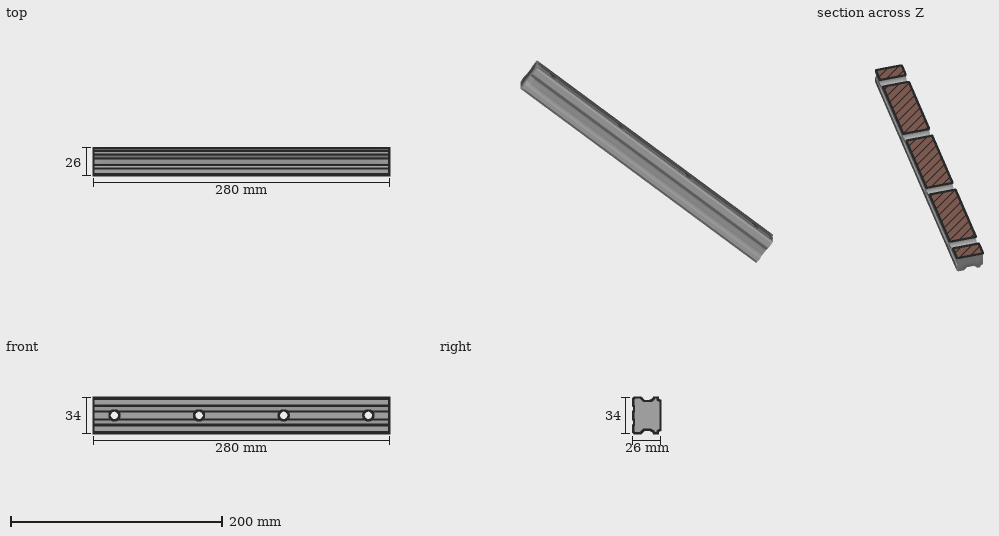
import cadquery as cq
import math

length = 280.0
depth = 26.0
height = 34.0
half_height = height / 2

front_chamfer = 1.5
groove_depth = 0.8
groove_inner = 3.78
groove_outer = 9.5
groove_slope = 0.8

channel_floor = 13.7
flank_start = 7.0
flank_end = flank_start + half_height - channel_floor
floor_end = 16.2
relief_length = 1.0
relief_rise = 0.5
race_start = floor_end + relief_length
race_floor = channel_floor + relief_rise
lip_front = 20.0
race_sag = 0.42

lip_rear = 23.5
step_half_height = 14.8
rear_half_height = 13.7

hole_diameter = 9.2
hole_count = 4
hole_pitch = 80.0


def make_rail():
    """Extrude the upper half profile and mirror it about the mid plane."""
    race_run = lip_front - race_start
    race_rise = half_height - race_floor
    race_chord = math.hypot(race_run, race_rise)
    race_middle = (
        (race_start + lip_front) / 2 + race_sag * race_rise / race_chord,
        (race_floor + half_height) / 2 - race_sag * race_run / race_chord,
    )
    upper = (
        cq.Workplane("YZ", origin=(-length / 2, 0, 0))
        .moveTo(0, 0)
        .lineTo(0, groove_inner)
        .lineTo(groove_depth, groove_inner)
        .lineTo(groove_depth, groove_outer - groove_slope)
        .lineTo(0, groove_outer)
        .lineTo(0, half_height - front_chamfer)
        .lineTo(front_chamfer, half_height)
        .lineTo(flank_start, half_height)
        .lineTo(flank_end, channel_floor)
        .lineTo(floor_end, channel_floor)
        .lineTo(race_start, race_floor)
        .threePointArc(race_middle, (lip_front, half_height))
        .lineTo(lip_rear, half_height)
        .lineTo(lip_rear, step_half_height)
        .lineTo(depth, rear_half_height)
        .lineTo(depth, 0)
        .close()
        .extrude(length)
    )
    return upper.union(upper.mirror("XY")).clean()


def make_holes():
    """Row of round cutters centred along the rail."""
    return (
        cq.Workplane("XZ")
        .rarray(hole_pitch, 2.8, hole_count, 1)
        .circle(hole_diameter / 2)
        .extrude(-depth)
    )


result = make_rail().cut(make_holes())